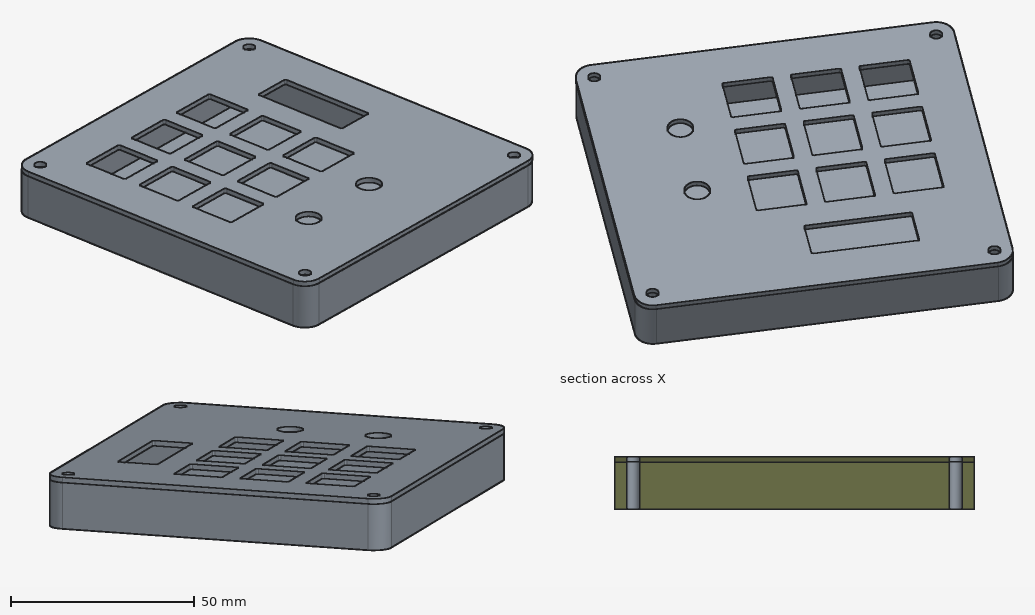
import cadquery as cq

overall_length = 105.1
overall_width = 98.1
overall_height = 14.4

plate_shift = 0.1
body_length = overall_length - plate_shift
case_x = -plate_shift / 2
plate_x = plate_shift / 2
corner_radius = 5.0

plate_thickness = 1.5
floor_thickness = 3.0
case_height = overall_height - plate_thickness

wall_thickness = 10.0

screw_diameter = 3.4
screw_spacing_x = body_length - 2 * corner_radius
screw_spacing_y = overall_width - 2 * corner_radius

key_size = 14.0
key_pitch = 19.0
key_count = 3
key_grid_x = -12.4
key_grid_y = -9.4

window_length = 29.9
window_width = 11.5
window_x = -13.0
window_y = 30.7
opening_radius = 0.5

knob_diameter = 7.1
knob_spacing = 25.4
knob_x = 28.1
knob_y = -6.9


def rounded_block(length, width, height, radius, x=0.0, y=0.0, z=0.0):
    """Upright block with rounded vertical edges, centred on (x, y), with its base at z."""
    block = cq.Workplane("XY", origin=(x, y, z)).rect(length, width).extrude(height)
    return block.edges("|Z").fillet(radius)


def screw_holes():
    """Four upright cylinders through the full height of the assembly."""
    return (
        cq.Workplane("XY", origin=(plate_x, 0, 0))
        .rect(screw_spacing_x, screw_spacing_y, forConstruction=True)
        .vertices()
        .circle(screw_diameter / 2)
        .extrude(overall_height)
    )


def make_case():
    """Open-topped case with thick walls that carry the screw holes."""
    case = rounded_block(body_length, overall_width, case_height, corner_radius, x=case_x)
    cavity = (
        cq.Workplane("XY", origin=(case_x, 0, floor_thickness))
        .rect(body_length - 2 * wall_thickness, overall_width - 2 * wall_thickness)
        .extrude(case_height - floor_thickness)
    )
    return case.cut(cavity).cut(screw_holes())


def plate_opening(length, width, x, y):
    """Cutter for a rectangular opening through the plate."""
    return rounded_block(length, width, plate_thickness, opening_radius, x, y, case_height)


def make_plate():
    """Cover plate with the key openings, display window, knob holes and screw holes."""
    plate = rounded_block(
        body_length, overall_width, plate_thickness, corner_radius, x=plate_x, z=case_height
    )

    middle = (key_count - 1) / 2
    for column in range(key_count):
        for row in range(key_count):
            key_x = key_grid_x + (column - middle) * key_pitch
            key_y = key_grid_y + (row - middle) * key_pitch
            plate = plate.cut(plate_opening(key_size, key_size, key_x, key_y))

    plate = plate.cut(plate_opening(window_length, window_width, window_x, window_y))

    knob_holes = (
        cq.Workplane("XY", origin=(knob_x, knob_y, case_height))
        .rarray(1, knob_spacing, 1, 2)
        .circle(knob_diameter / 2)
        .extrude(plate_thickness)
    )
    return plate.cut(knob_holes).cut(screw_holes())


case = make_case()
plate = make_plate()
result = cq.Compound.makeCompound([case.val(), plate.val()])